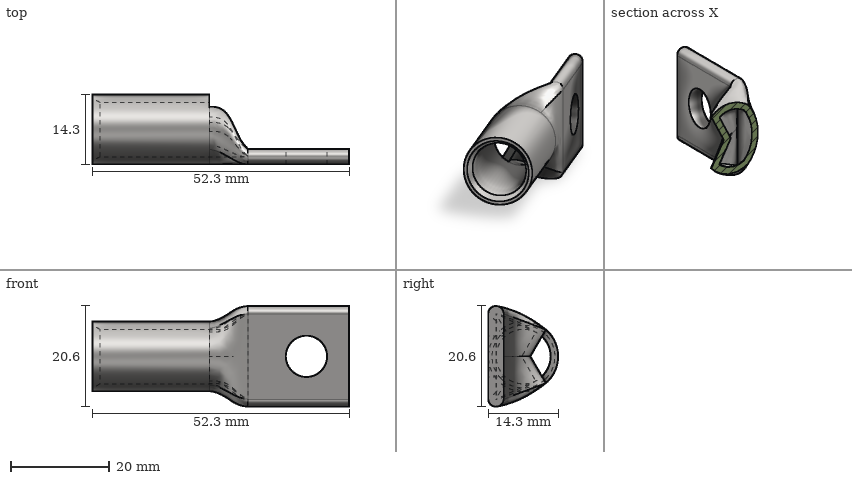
import cadquery as cq
import math

length = 52.3
barrel_length = 23.85
palm_start = 31.7
barrel_diameter = 14.3
wall = 1.55
mouth_chamfer = 0.85
mouth_chamfer_depth = 1.45
palm_width = 20.55
palm_thickness = 3.15
hole_diameter = 8.35
hole_x = 43.65

fold_apex_y = 1.45
fold_half_angle = 60.0
front_half_angle = 55.0
fold_delay = 1.7
slit_thickness = 0.1
section_count = 6
first_fold_point = 3

barrel_radius = barrel_diameter / 2
bore_radius = barrel_radius - wall
palm_center_y = -barrel_radius + palm_thickness / 2


def round_section_points(radius, apex_y):
    """Half outline (y, z) of a barrel cut by the V fold, from front to apex."""
    fold = math.radians(fold_half_angle)
    half_chord = apex_y * math.cos(fold)
    flank = -half_chord + math.sqrt(half_chord**2 + radius**2 - apex_y**2)
    corner_y = apex_y + flank * math.cos(fold)
    corner_z = flank * math.sin(fold)
    front = math.radians(front_half_angle)
    corner_angle = math.atan2(corner_z, -corner_y)
    side = (front + corner_angle) / 2
    return [
        (-radius, 0),
        (-radius * math.cos(front), radius * math.sin(front)),
        (-radius * math.cos(side), radius * math.sin(side)),
        (corner_y, corner_z),
        (apex_y, 0),
    ]


def flat_section_points(width, thickness):
    """Half outline (y, z) of a round-edged strip, matching the barrel points."""
    front_y = palm_center_y - thickness / 2
    back_y = palm_center_y + thickness / 2
    edge_z = (width - thickness) / 2
    return [
        (front_y, 0),
        (front_y, edge_z),
        (palm_center_y, width / 2),
        (back_y, edge_z),
        (back_y, 0),
    ]


def ease(t):
    return t * t * (3 - 2 * t)


def blend(start, end, t):
    """Move each point smoothly; points of the folded back move later."""
    points = []
    for index, ((y0, z0), (y1, z1)) in enumerate(zip(start, end)):
        step = ease(t**fold_delay) if index >= first_fold_point else ease(t)
        points.append((y0 + (y1 - y0) * step, z0 + (z1 - z0) * step))
    return points


def section_wire(x, half):
    front, edge, side, corner, apex = [cq.Vector(x, y, z) for y, z in half]
    low_edge, low_side, low_corner = [cq.Vector(x, y, -z) for y, z in half[1:4]]
    if math.isclose(front.y, edge.y):
        front_edge = cq.Edge.makeLine(low_edge, edge)
    else:
        front_edge = cq.Edge.makeThreePointArc(low_edge, front, edge)
    return cq.Wire.assembleEdges([
        front_edge,
        cq.Edge.makeThreePointArc(edge, side, corner),
        cq.Edge.makeLine(corner, apex),
        cq.Edge.makeLine(apex, low_corner),
        cq.Edge.makeThreePointArc(low_corner, low_side, low_edge),
    ])


def neck_body(start, end):
    wires = []
    for index in range(section_count):
        t = index / (section_count - 1)
        x = barrel_length + (palm_start - barrel_length) * t
        wires.append(section_wire(x, blend(start, end, t)))
    return cq.Workplane(obj=cq.Solid.makeLoft(wires))


def make_barrel():
    tube = cq.Workplane("YZ").circle(barrel_radius).circle(bore_radius).extrude(barrel_length)
    mouth = cq.Workplane(obj=cq.Solid.makeCone(
        bore_radius + mouth_chamfer, bore_radius, mouth_chamfer_depth,
        dir=cq.Vector(1, 0, 0),
    ))
    return tube.cut(mouth)


def make_neck():
    outer = neck_body(
        round_section_points(barrel_radius, fold_apex_y),
        flat_section_points(palm_width, palm_thickness),
    )
    inner_apex_y = fold_apex_y - wall / math.sin(math.radians(fold_half_angle))
    cavity = neck_body(
        round_section_points(bore_radius, inner_apex_y),
        flat_section_points(palm_width - palm_thickness, slit_thickness),
    )
    return outer.cut(cavity)


def make_palm():
    palm = (
        cq.Workplane("YZ", origin=(palm_start, palm_center_y, 0))
        .slot2D(palm_width, palm_thickness, 90)
        .extrude(length - palm_start)
    )
    hole = (
        cq.Workplane("XZ", origin=(hole_x, -barrel_radius, 0))
        .circle(hole_diameter / 2)
        .extrude(-palm_thickness)
    )
    return palm.cut(hole)


result = make_barrel().union(make_neck()).union(make_palm())